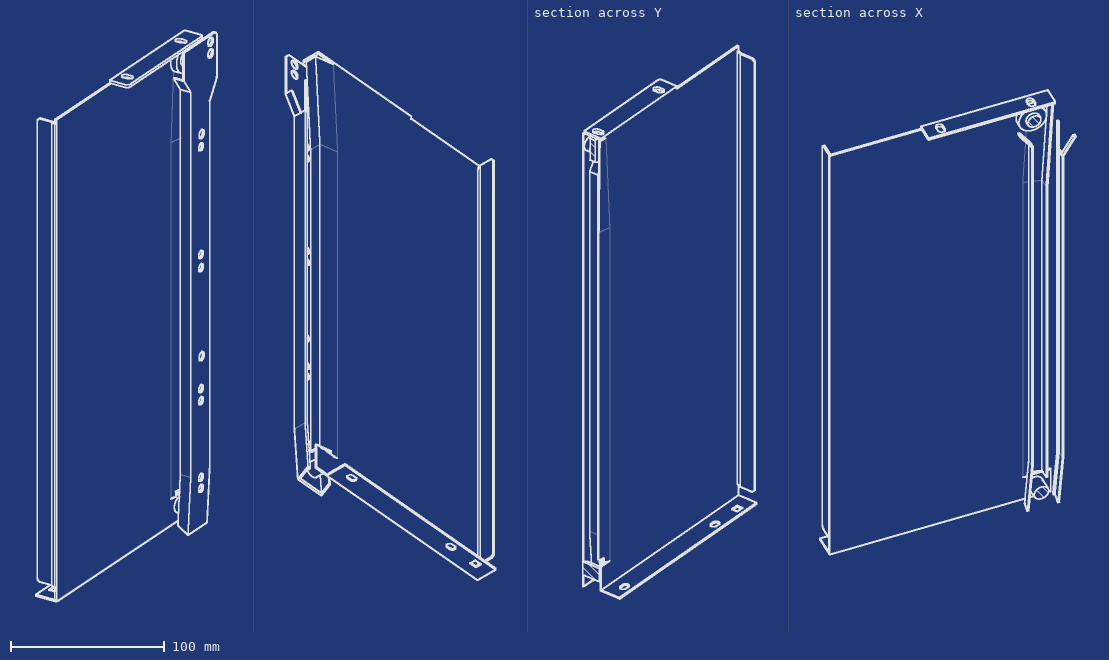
import cadquery as cq

sheet = 1.2
total_height = 352.0
panel_left = 14.8
panel_right = panel_left + sheet
panel_bottom = 2.5
top_flange_thickness = 2.0
panel_top = total_height - top_flange_thickness
foot_top = 21.7
foot_depth = 156.5
rail_start = 25.7
notch_front = 141.0
lean_start = 279.0
lean = 4.1

joggle_start = 136.4
joggle_end = 150.0
joggle_step = 3.0
ledge_right = 26.0

front_flange_bottom = 12.6
front_flange_top = 346.5
front_flange_set_back = 1.5
front_bend_start = 11.2
front_corner = 1.5
bottom_flange_depth = 145.3
bottom_slot_x = 5.6
bottom_slot_width = 4.6
bottom_slot_length = 7.2
bottom_slot_positions = (37.0, 132.6)
square_hole_y = 13.3
square_hole_length = 5.6
top_flange_right = 29.2
top_flange_front = 65.1
top_flange_back = 154.8
top_flange_corner = 2.0
top_slot_x = 21.5
top_slot_length = 7.9
top_slot_width = 5.0
top_slot_positions = (76.0, 140.0)

runner_sheet = 1.3
runner_right = 30.39
web_left = runner_right - runner_sheet
runner_back = 160.9
runner_front = 138.0
lip_left = 20.9
lip_depth = 2.3
lip_top = 329.0
runner_flange_left = 22.3
crank_height = 40.5
crank_shift = 3.3
end_cut_height = 5.5
flare_start_back = 302.6
flare_end_back = 316.4
flare_left = 25.0
flare_start_front = 317.9
ear_back = 169.5
ear_front = 130.2
ear_top = 349.6
ear_corner = 2.2
ear_hole_y = 161.8
ear_hole_diameter = 6.1
ear_hole_heights = (336.4, 344.8)
screw_hole_y = 150.3
screw_hole_diameter = 5.4
screw_hole_heights = (27.5, 35.5, 90.7, 99.4, 186.6, 196.1, 273.7)
large_hole_y = 151.0
large_hole_diameter = 6.2
large_hole_heights = (122.5, 282.6)

top_roller_y = 140.0
top_roller_z = 339.9
top_roller_left = 19.9
top_roller_right = 24.5
top_roller_diameter = 19.6
hub_diameter = 9.6
bottom_roller_left = 16.6
bottom_roller_y = 145.0
bottom_roller_z = 14.4
bottom_roller_diameter = 10.6


def box(x_range, y_range, z_range):
    """Block spanning the given (low, high) ranges."""
    size = [high - low for low, high in (x_range, y_range, z_range)]
    corner = (x_range[0], y_range[0], z_range[0])
    return cq.Workplane("XY").box(*size, centered=False).translate(corner)


def side_plate(outline, left, right):
    """Plate with a (Y, Z) outline, spanning X from left to right."""
    return cq.Workplane("YZ", origin=(left, 0, 0)).polyline(outline).close().extrude(right - left)


def pin(y, z, diameter, left, right):
    """Round bar along X."""
    return cq.Workplane("YZ", origin=(left, 0, 0)).center(y, z).circle(diameter / 2).extrude(right - left)


def rail_outline(shift):
    """Plan section of panel and rail, with the rail moved backwards by shift."""
    start = joggle_start + shift
    end = joggle_end + shift
    return [
        (panel_left, 0),
        (panel_left, start),
        (panel_left + joggle_step, end),
        (ledge_right, end),
        (ledge_right, end - sheet),
        (panel_right + joggle_step, end - sheet),
        (panel_right, start),
        (panel_right, 0),
    ]


def make_panel_sheet():
    foot = box((panel_left, panel_right), (0, foot_depth), (panel_bottom, foot_top))
    straight = (
        cq.Workplane("XY", origin=(0, 0, foot_top))
        .polyline(rail_outline(0)).close()
        .extrude(lean_start - foot_top)
    )
    notch = box((panel_left, ledge_right), (notch_front, joggle_end), (foot_top, rail_start))
    leaning = (
        cq.Workplane("XY", origin=(0, 0, lean_start))
        .polyline(rail_outline(0)).close()
        .workplane(offset=panel_top - lean_start)
        .polyline(rail_outline(lean)).close()
        .loft(ruled=True)
    )
    return foot.union(straight.cut(notch)).union(leaning)


def make_front_flange():
    """Flange facing -Y, joined to the panel's front edge by a sloped strip."""
    outline = [
        (0, front_flange_set_back),
        (front_bend_start, front_flange_set_back),
        (panel_left, 0),
        (panel_right, 0),
        (panel_right, sheet),
        (panel_left, sheet),
        (front_bend_start, front_flange_set_back + sheet),
        (0, front_flange_set_back + sheet),
    ]
    return (
        cq.Workplane("XY", origin=(0, 0, front_flange_bottom))
        .polyline(outline).close()
        .extrude(front_flange_top - front_flange_bottom)
        .edges("|Y and <X").chamfer(front_corner)
    )


def make_bottom_flange():
    flange = box((0, panel_right), (0, bottom_flange_depth), (panel_bottom, panel_bottom + sheet))
    slots = (
        cq.Workplane("XY", origin=(0, 0, panel_bottom))
        .pushPoints([(bottom_slot_x, y) for y in bottom_slot_positions])
        .slot2D(bottom_slot_length, bottom_slot_width, 90)
        .extrude(sheet)
    )
    square_hole = (
        cq.Workplane("XY", origin=(bottom_slot_x, square_hole_y, panel_bottom))
        .rect(bottom_slot_width, square_hole_length)
        .extrude(sheet)
    )
    return flange.cut(slots).cut(square_hole)


def make_top_flange():
    flange = box(
        (panel_left, top_flange_right), (top_flange_front, top_flange_back), (panel_top, total_height)
    )
    flange = flange.edges("|Z and >X").fillet(top_flange_corner)
    slots = (
        cq.Workplane("XY", origin=(0, 0, panel_top))
        .pushPoints([(top_slot_x, y) for y in top_slot_positions])
        .slot2D(top_slot_length, top_slot_width)
        .extrude(top_flange_thickness)
    )
    return flange.cut(slots)


def make_panel():
    panel = make_panel_sheet()
    for flange in (make_front_flange(), make_bottom_flange(), make_top_flange()):
        panel = panel.union(flange)
    return panel


def make_web():
    """Upright web of the runner, widening into an ear at the top."""
    web = side_plate(
        [
            (runner_front - crank_shift, 0),
            (runner_front, crank_height),
            (runner_front, flare_start_front),
            (ear_front, lip_top),
            (ear_front, ear_top),
            (ear_back - ear_corner, ear_top),
            (ear_back, ear_top - ear_corner),
            (ear_back, flare_end_back),
            (runner_back, flare_start_back),
            (runner_back, crank_height),
            (runner_back - crank_shift, 0),
        ],
        web_left,
        runner_right,
    )
    hole_rows = (
        (ear_hole_y, ear_hole_diameter, ear_hole_heights),
        (screw_hole_y, screw_hole_diameter, screw_hole_heights),
        (large_hole_y, large_hole_diameter, large_hole_heights),
    )
    for y, diameter, heights in hole_rows:
        for z in heights:
            web = web.cut(pin(y, z, diameter, web_left, runner_right))
    return web


def strip(path, depth, left, right):
    """Bent strip following a (Y, Z) path, with its depth measured along +Y."""
    far_side = [(y + depth, z) for y, z in reversed(path)]
    return side_plate(path + far_side, left, right)


def make_runner_flanges():
    inner_back = runner_back - runner_sheet
    back_path = [
        (inner_back - crank_shift, 0),
        (inner_back, crank_height),
        (inner_back, flare_start_back),
    ]
    flare_path = [
        (inner_back, flare_start_back),
        (ear_back - runner_sheet, flare_end_back),
    ]
    lip_path = [
        (runner_back - lip_depth - crank_shift, 0),
        (runner_back - lip_depth, crank_height),
        (runner_back - lip_depth, lip_top),
    ]
    front_path = [
        (runner_front - crank_shift, 0),
        (runner_front, crank_height),
        (runner_front, flare_start_front),
        (ear_front, lip_top),
    ]
    back_flange = strip(back_path, runner_sheet, lip_left, runner_right)
    back_flare = strip(flare_path, runner_sheet, flare_left, runner_right)
    lip = strip(lip_path, lip_depth - runner_sheet, lip_left, lip_left + runner_sheet)
    front_flange = strip(front_path, runner_sheet, runner_flange_left, runner_right)
    return back_flange.union(back_flare).union(lip).union(front_flange)


def make_end_cut():
    """Wedge that trims the runner's lower end at an angle."""
    return (
        cq.Workplane("XZ")
        .polyline([(lip_left, 0), (runner_right, 0), (lip_left, end_cut_height)]).close()
        .extrude(-runner_back)
    )


def make_rollers():
    top_roller = pin(top_roller_y, top_roller_z, top_roller_diameter, top_roller_left, top_roller_right)
    hub = pin(top_roller_y, top_roller_z, hub_diameter, top_roller_right, web_left)
    bottom_roller = pin(
        bottom_roller_y, bottom_roller_z, bottom_roller_diameter, bottom_roller_left, web_left
    )
    return (top_roller.union(hub), bottom_roller)


def make_runner():
    runner = make_web().union(make_runner_flanges()).cut(make_end_cut())
    for roller in make_rollers():
        runner = runner.union(roller)
    return runner


panel = make_panel()
runner = make_runner()

result = cq.Compound.makeCompound([panel.solids().val(), runner.solids().val()])